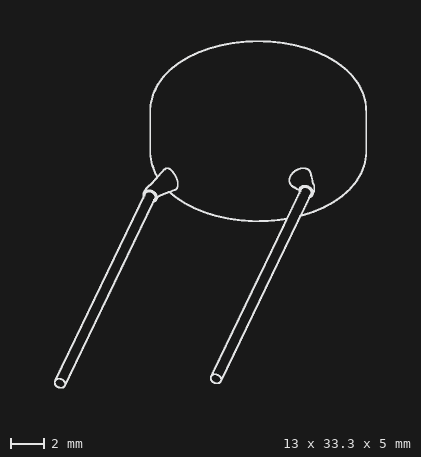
import cadquery as cq
import math

disc_diameter = 13.0
disc_height = 5.0
edge_radius = 1.0

overall_length = 33.3
lead_diameter = 0.65
lead_spacing = 9.73
lead_offset_z = 1.1
lead_end_y = disc_diameter / 2 - overall_length

neck_end_y = -6.73
collar_length = 0.13
collar_radius = 0.43
root_radius = 0.7
bend_radius = 0.85
bend_angle = math.radians(35)
bend_tilt = math.radians(18)
cone_length = 1.23
root_depth = 0.65

lead_x = -lead_spacing / 2
lead_z = -lead_offset_z
copy_angles = (0, 180)


def turned_about_y(shape, angle):
    return shape.rotate((0, 0, 0), (0, 1, 0), angle)


def make_disc():
    disc = cq.Workplane("XY").circle(disc_diameter / 2).extrude(disc_height)
    return disc.translate((0, 0, -disc_height / 2)).edges().fillet(edge_radius)


def make_neck():
    """Straight collar, bend and widening root of the lower left neck."""
    inward = cq.Vector(math.cos(bend_tilt), 0, math.sin(bend_tilt))
    along = cq.Vector(0, 1, 0)
    neck_end = cq.Vector(lead_x, neck_end_y, lead_z)
    collar = cq.Workplane(cq.Solid.makeCylinder(collar_radius, collar_length, neck_end, along))

    bend_start = neck_end + along * collar_length

    def bend_point(angle):
        sideways = inward * (bend_radius * (1 - math.cos(angle)))
        return bend_start + sideways + along * (bend_radius * math.sin(angle))

    bend_end = bend_point(bend_angle)
    arc = cq.Edge.makeThreePointArc(bend_start, bend_point(bend_angle / 2), bend_end)
    section_plane = cq.Plane(origin=bend_start.toTuple(), xDir=(1, 0, 0), normal=(0, 1, 0))
    bend = cq.Workplane(section_plane).circle(collar_radius).sweep(cq.Wire.assembleEdges([arc]))

    root_direction = inward * math.sin(bend_angle) + along * math.cos(bend_angle)
    cone = cq.Solid.makeCone(collar_radius, root_radius, cone_length, bend_end, root_direction)
    root_start = bend_end + root_direction * cone_length
    root = cq.Solid.makeCylinder(root_radius, root_depth, root_start, root_direction)
    return collar.union(bend).union(cq.Workplane(cone)).union(cq.Workplane(root))


def make_housing():
    housing = make_disc()
    neck = make_neck()
    for angle in copy_angles:
        housing = housing.union(turned_about_y(neck, angle))
    return housing


def make_lead(angle):
    """Straight wire butting against the end of its neck."""
    start = cq.Vector(lead_x, lead_end_y, lead_z)
    wire = cq.Solid.makeCylinder(lead_diameter / 2, neck_end_y - lead_end_y, start, cq.Vector(0, 1, 0))
    return turned_about_y(wire, angle)


housing = make_housing()
leads = []
for angle in copy_angles:
    leads.append(make_lead(angle))

result = cq.Compound.makeCompound([housing.val(), *leads])